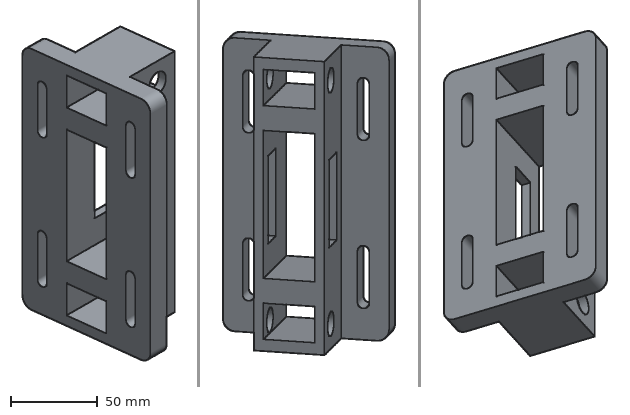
import cadquery as cq

height = 175
plate_width = 98.9
total_depth = 53.0
plate_thickness = 14.2
corner_radius = 7.2
block_width = 42

window_width = 30.5
main_window_height = 88.2
end_window_height = 21.5
end_window_offset = 69.6

slot_spacing = 68.2
slot_offset = 50.0
slot_length = 37.3
slot_width = 7

pin_diameter = 14.5
pin_offset = 72.6
pin_setback = 14.9
side_window_depth = 18.0
side_window_height = 52.3
side_window_setback = 19.8


def box(x_size, y_size, z_size, y_center, z_center=0):
    """Box centred on X = 0."""
    return cq.Workplane("XY").box(x_size, y_size, z_size).translate((0, y_center, z_center))


def make_plate():
    plate = box(plate_width, plate_thickness, height, plate_thickness / 2)
    plate = plate.edges("|Y").fillet(corner_radius)
    slot_centers = [
        (x_side * slot_spacing / 2, z_side * slot_offset)
        for x_side in (-1, 1)
        for z_side in (-1, 1)
    ]
    slots = (
        cq.Workplane("XZ")
        .pushPoints(slot_centers)
        .slot2D(slot_length, slot_width, 90)
        .extrude(-plate_thickness)
    )
    return plate.cut(slots)


def make_block():
    block_depth = total_depth - plate_thickness
    return box(block_width, block_depth, height, plate_thickness + block_depth / 2)


def make_window(window_height, z_center):
    return box(window_width, total_depth, window_height, total_depth / 2, z_center)


def make_pin_hole(z_center):
    return (
        cq.Workplane("YZ")
        .center(total_depth - pin_setback, z_center)
        .circle(pin_diameter / 2)
        .extrude(block_width / 2, both=True)
    )


result = make_plate().union(make_block())
result = result.cut(make_window(main_window_height, 0))
for side in (-1, 1):
    result = result.cut(make_window(end_window_height, side * end_window_offset))
    result = result.cut(make_pin_hole(side * pin_offset))

side_window = box(
    block_width, side_window_depth, side_window_height, total_depth - side_window_setback
)
result = result.cut(side_window)